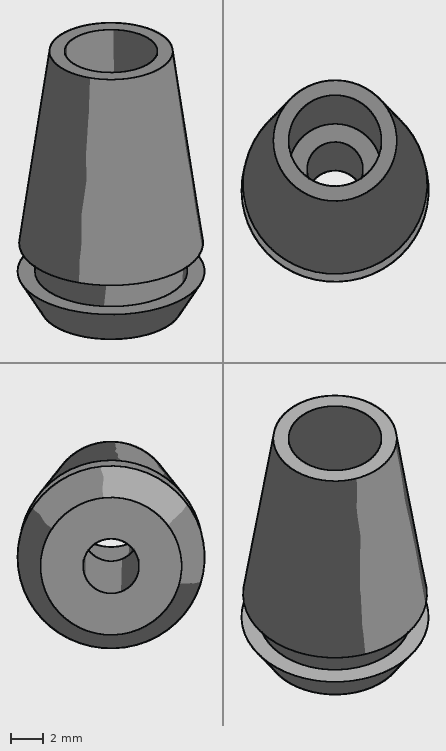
import cadquery as cq
import math

total_height = 18.0
flange_height = 2.5
cone_base_height = 4.5
bore_step_height = 9.0

flange_diameter = 11.7
groove_diameter = 9.52
cone_base_diameter = 11.5
cone_half_angle = math.radians(8)
flange_half_angle = math.radians(30)

clamping_bore_diameter = 3.5
relief_bore_diameter = 5.8

flange_radius = flange_diameter / 2
groove_radius = groove_diameter / 2
cone_base_radius = cone_base_diameter / 2
bottom_radius = flange_radius - flange_height * math.tan(flange_half_angle)
top_radius = cone_base_radius - (total_height - cone_base_height) * math.tan(cone_half_angle)
clamping_bore_radius = clamping_bore_diameter / 2
relief_bore_radius = relief_bore_diameter / 2

half_section = [
    (clamping_bore_radius, 0),
    (bottom_radius, 0),
    (flange_radius, flange_height),
    (groove_radius, flange_height),
    (groove_radius, cone_base_height),
    (cone_base_radius, cone_base_height),
    (top_radius, total_height),
    (relief_bore_radius, total_height),
    (relief_bore_radius, bore_step_height),
    (clamping_bore_radius, bore_step_height),
]

result = cq.Workplane("XZ").polyline(half_section).close().revolve(360, (0, 0), (0, 1))